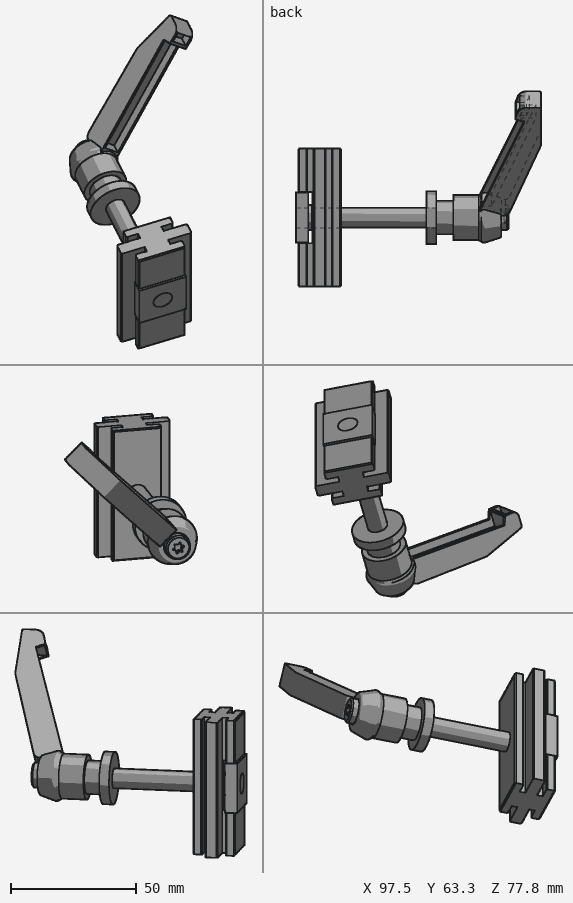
import cadquery as cq
import math

CLAMP_AXIS = ((0, 0, 0), (1, 0, 0))

BLOCK_HEIGHT = 55.0
FLANGE_WIDTH = 20.0
MIDDLE_WIDTH = 30.0
WEB_WIDTH = 10.0
FLANGE_THICKNESS = 3.7
MIDDLE_THICKNESS = 5.0
SLOT_WIDTH = 2.3
EDGE_CHAMFER = 0.5
POCKET_FLOOR_X = 11.4
POCKET_HEIGHT = 20.3
BLOCK_DEPTH = 2 * FLANGE_THICKNESS + 2 * SLOT_WIDTH + MIDDLE_THICKNESS

NUT_SIDE = 20.0
NUT_THICKNESS = 5.0
NUT_BACK_X = 17.9
NUT_FRONT_X = NUT_BACK_X - NUT_THICKNESS
NUT_BOSS_DIAMETER = 10.0
NUT_BOSS_X = 11.6

ROD_DIAMETER = 8.0
COLLAR_DIAMETER = 13.5
HUB_DIAMETER = 18.0
BELL_DIAMETER = 20.1
BELL_CONE_START_RADIUS = 8.2
BELL_CONE_END_RADIUS = 9.9
BELL_FACE_RADIUS = 7.0
BELL_FLANK_RADIUS = 9.6
CAP_DIAMETER = 10.0
CAP_CHAMFER = 0.7
CAP_RECESS_DIAMETER = 10.5
CAP_RECESS_DEPTH = 0.5

CAP_X = -66.7
BELL_FACE_X = -63.8
BELL_CONE_START_X = -62.8
BELL_CONE_END_X = -57.4
BELL_CREST_X = -56.7
BELL_FLANK_X = -55.8
HUB_START_X = -54.7
HUB_END_X = -44.7

WASHER_DIAMETER = 21.1
WASHER_THICKNESS = 4.0
WASHER_X = -37.9

SOCKET_LOBES = 6
SOCKET_TIP_RADIUS = 2.3
SOCKET_VALLEY_RADIUS = 1.6
SOCKET_SHOULDER_RADIUS = 2.0
SOCKET_SHOULDER_ANGLE = 10
SOCKET_DEPTH = 1.95

ARM_ANGLE = 46.3
ARM_WIDTH = 9.5
ARM_LENGTH = 65.0
ARM_OUTER_X = -79.6
ARM_KINK_S = 44.2
ARM_HEEL_X = -67.2
ARM_HEEL_S = 7.7
ARM_HEEL_END_X = -65.2
ARM_END_S = 5.5
ARM_TOE_X = -55.3
ARM_TOE_S = 8.4
HOOK_ROOT_X = -72.9
HOOK_ROOT_S = 56.9
HOOK_TIP_X = -69.2
HOOK_TIP_S = 58.6
NOSE_ARC_START_X = -74.2
NOSE_ARC_END_X = -70.3
NOSE_ARC_END_S = 62.2
ARM_TIP_FILLET = 1.0
ARM_KINK_FILLET = 1.3

RECESS_WALL = 1.0
RECESS_DEPTH = 3.9
RECESS_START_S = 10.1
HOOK_WEB_BOTTOM_S = 58.4
HOOK_WEB_TOP_S = 59.9
HOOK_RECESS_END_S = 63.6


def cylinder(diameter, start_x, end_x):
    """Solid cylinder on the clamp axis."""
    return cq.Workplane("YZ", origin=(start_x, 0, 0)).circle(diameter / 2).extrude(end_x - start_x)


def box(start_x, end_x, width, height):
    """Box centred on the clamp axis."""
    return cq.Workplane("YZ", origin=(start_x, 0, 0)).rect(width, height).extrude(end_x - start_x)


def make_block():
    middle_x = FLANGE_THICKNESS + SLOT_WIDTH
    rear_x = BLOCK_DEPTH - FLANGE_THICKNESS
    front_flange = box(0, FLANGE_THICKNESS, FLANGE_WIDTH, BLOCK_HEIGHT)
    front_flange = front_flange.edges("|Z").chamfer(EDGE_CHAMFER).faces("<X").edges("|Y").chamfer(EDGE_CHAMFER)
    middle_flange = box(middle_x, middle_x + MIDDLE_THICKNESS, MIDDLE_WIDTH, BLOCK_HEIGHT)
    middle_flange = middle_flange.edges("|Z").chamfer(EDGE_CHAMFER)
    rear_flange = box(rear_x, BLOCK_DEPTH, FLANGE_WIDTH, BLOCK_HEIGHT)
    rear_flange = rear_flange.edges("|Z").chamfer(EDGE_CHAMFER).faces(">X").edges("|Y").chamfer(EDGE_CHAMFER)
    web = box(FLANGE_THICKNESS, rear_x, WEB_WIDTH, BLOCK_HEIGHT)
    pocket = box(POCKET_FLOOR_X, BLOCK_DEPTH, MIDDLE_WIDTH, POCKET_HEIGHT)
    rod_hole = cylinder(ROD_DIAMETER, 0, BLOCK_DEPTH)
    return web.union(front_flange).union(middle_flange).union(rear_flange).cut(pocket).cut(rod_hole)


def make_nut():
    plate = box(NUT_FRONT_X, NUT_BACK_X, NUT_SIDE, NUT_SIDE)
    boss = cylinder(NUT_BOSS_DIAMETER, NUT_BOSS_X, NUT_FRONT_X)
    return plate.union(boss).cut(cylinder(ROD_DIAMETER, NUT_BOSS_X, NUT_BACK_X))


def make_washer():
    end_x = WASHER_X + WASHER_THICKNESS
    return cylinder(WASHER_DIAMETER, WASHER_X, end_x).cut(cylinder(ROD_DIAMETER, WASHER_X, end_x))


def make_spindle():
    """Cap, bell, hub, collar and rod, turned about the clamp axis."""
    bell = (
        cq.Workplane("XY")
        .moveTo(BELL_FACE_X, 0)
        .lineTo(BELL_FACE_X, BELL_FACE_RADIUS)
        .tangentArcPoint((BELL_CONE_START_X, BELL_CONE_START_RADIUS), relative=False)
        .lineTo(BELL_CONE_END_X, BELL_CONE_END_RADIUS)
        .threePointArc((BELL_CREST_X, BELL_DIAMETER / 2), (BELL_FLANK_X, BELL_FLANK_RADIUS))
        .lineTo(HUB_START_X, HUB_DIAMETER / 2)
        .lineTo(HUB_START_X, 0)
        .close()
        .revolve(360, *CLAMP_AXIS)
    )
    cap_seat_x = BELL_FACE_X + CAP_RECESS_DEPTH
    bell = bell.cut(cylinder(CAP_RECESS_DIAMETER, BELL_FACE_X, cap_seat_x))
    cap = cylinder(CAP_DIAMETER, CAP_X, cap_seat_x).faces("<X").chamfer(CAP_CHAMFER)
    hub = cylinder(HUB_DIAMETER, HUB_START_X, HUB_END_X)
    collar = cylinder(COLLAR_DIAMETER, HUB_END_X, WASHER_X)
    rod = cylinder(ROD_DIAMETER, WASHER_X, NUT_BACK_X)
    return bell.union(cap).union(hub).union(collar).union(rod)


def make_socket():
    """Six-lobed star socket, one lobe pointing along the arm."""
    def polar(radius, angle):
        return radius * math.cos(math.radians(angle)), radius * math.sin(math.radians(angle))

    pitch = 360 / SOCKET_LOBES
    outline = cq.Workplane("YZ", origin=(CAP_X, 0, 0))
    outline = outline.moveTo(*polar(SOCKET_SHOULDER_RADIUS, -SOCKET_SHOULDER_ANGLE))
    for lobe in range(SOCKET_LOBES):
        angle = lobe * pitch
        outline = outline.threePointArc(
            polar(SOCKET_TIP_RADIUS, angle),
            polar(SOCKET_SHOULDER_RADIUS, angle + SOCKET_SHOULDER_ANGLE),
        ).threePointArc(
            polar(SOCKET_VALLEY_RADIUS, angle + pitch / 2),
            polar(SOCKET_SHOULDER_RADIUS, angle + pitch - SOCKET_SHOULDER_ANGLE),
        )
    return outline.close().extrude(SOCKET_DEPTH)


def inner_side_x(s):
    """X of the sloped inner side of the arm at distance s."""
    slope = (ARM_TOE_X - HOOK_ROOT_X) / (ARM_TOE_S - HOOK_ROOT_S)
    return HOOK_ROOT_X + slope * (s - HOOK_ROOT_S)


def make_arm_recess(start_s, end_s, floor_offset, width):
    """Slot with its floor parallel to the inner side and open towards +X."""
    return (
        cq.Workplane("XY")
        .moveTo(inner_side_x(start_s) + floor_offset, start_s)
        .lineTo(ARM_TOE_X, start_s)
        .lineTo(ARM_TOE_X, end_s)
        .lineTo(inner_side_x(end_s) + floor_offset, end_s)
        .close()
        .extrude(width / 2, both=True)
    )


def make_arm():
    """Arm laid along +Y, before it is turned about the clamp axis."""
    arm = (
        cq.Workplane("XY")
        .moveTo(ARM_TOE_X, ARM_END_S)
        .lineTo(ARM_TOE_X, ARM_TOE_S)
        .lineTo(HOOK_ROOT_X, HOOK_ROOT_S)
        .lineTo(HOOK_TIP_X, HOOK_TIP_S)
        .lineTo(NOSE_ARC_END_X, NOSE_ARC_END_S)
        .tangentArcPoint((NOSE_ARC_START_X, ARM_LENGTH), relative=False)
        .lineTo(ARM_OUTER_X, ARM_LENGTH)
        .lineTo(ARM_OUTER_X, ARM_KINK_S)
        .lineTo(ARM_HEEL_X, ARM_HEEL_S)
        .tangentArcPoint((ARM_HEEL_END_X, ARM_END_S), relative=False)
        .close()
        .extrude(ARM_WIDTH / 2, both=True)
    )
    arm = arm.edges(cq.NearestToPointSelector((ARM_OUTER_X, ARM_LENGTH, 0))).fillet(ARM_TIP_FILLET)
    arm = arm.edges(cq.NearestToPointSelector((ARM_OUTER_X, ARM_KINK_S, 0))).fillet(ARM_KINK_FILLET)
    recess_width = ARM_WIDTH - 2 * RECESS_WALL
    hook_height = HOOK_TIP_X - inner_side_x(HOOK_TIP_S)
    shank_recess = make_arm_recess(RECESS_START_S, HOOK_WEB_BOTTOM_S, -RECESS_DEPTH, recess_width)
    hook_recess = make_arm_recess(
        HOOK_WEB_TOP_S, HOOK_RECESS_END_S, hook_height - RECESS_DEPTH, recess_width
    )
    return arm.cut(shank_recess).cut(hook_recess)


def make_lever():
    socket = make_socket()
    arm = make_arm()
    arm = arm.rotate(*CLAMP_AXIS, ARM_ANGLE)
    socket = socket.rotate(*CLAMP_AXIS, ARM_ANGLE)
    return make_spindle().union(arm).cut(socket)


block = make_block()
nut = make_nut()
washer = make_washer()
lever = make_lever()

result = cq.Compound.makeCompound([block.val(), nut.val(), washer.val(), lever.val()])